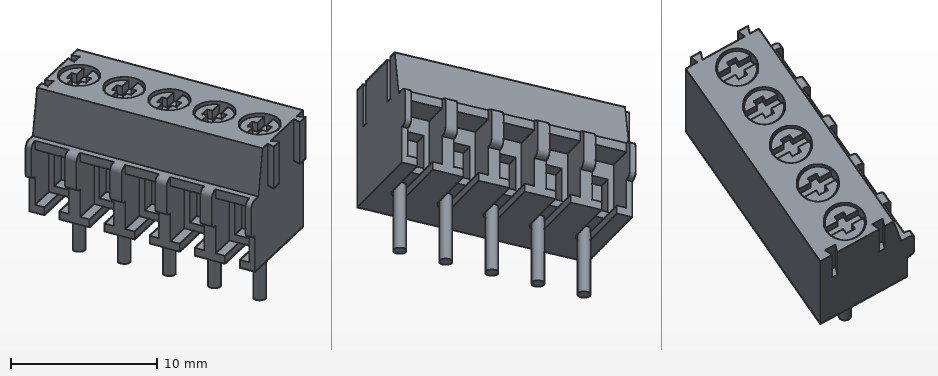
import cadquery as cq

poles = 5
pitch = 3.5
body_length = poles * pitch
body_height = 9.2
back_y = 3.05
front_y = -3.95

lip_y = -4.5
shelf_z = 5.7
lip_bottom_z = 2.8
lip_radius = 0.5
slope_top_y = -2.83
slope_bottom_y = -3.45

pocket_width = 2.6
pocket_floor_z = 0.63
shelf_thickness = 0.7
pocket_depth = 2.0
entry_width = 1.75
entry_bottom_z = 1.2
entry_top_z = 3.75
entry_depth = 1.0

pin_diameter = 0.9
pin_length = 4.5
pin_slot_width = 1.16

screw_hole_diameter = 2.9
screw_diameter = 2.7
screw_hole_depth = 1.5
screw_recess = 0.2
drive_slot_width = 0.7
drive_cross_length = 1.5
drive_depth = 0.7

dovetail_depth = 0.57
dovetail_neck = 0.42
dovetail_tip = 0.82
dovetail_height = 3.3
dovetail_centers_y = (1.9, -1.9)

pole_centers_x = [(i - (poles - 1) / 2) * pitch for i in range(poles)]


def box(x_min, x_max, y_min, y_max, z_min, z_max):
    size = (x_max - x_min, y_max - y_min, z_max - z_min)
    return cq.Workplane("XY").box(*size, centered=False).translate((x_min, y_min, z_min))


def housing():
    """Side profile extruded along the whole row, with the lip's outer edges rounded."""
    profile = [
        (back_y, 0),
        (back_y, body_height),
        (slope_top_y, body_height),
        (slope_bottom_y, shelf_z),
        (lip_y, shelf_z),
        (lip_y, lip_bottom_z),
        (front_y, lip_bottom_z),
        (front_y, 0),
    ]
    body = cq.Workplane("YZ").polyline(profile).close().extrude(body_length / 2, both=True)
    return body.faces("<Y").edges("|X").fillet(lip_radius)


def wire_pocket(x):
    """Front opening of one pole, with the smaller wire entry behind it."""
    half_width = pocket_width / 2
    pocket_back_y = front_y + pocket_depth
    opening = box(
        x - half_width, x + half_width, front_y, pocket_back_y,
        pocket_floor_z, shelf_z - shelf_thickness,
    )
    lip_gap = box(x - half_width, x + half_width, lip_y, front_y, pocket_floor_z, shelf_z)
    entry = box(
        x - entry_width / 2, x + entry_width / 2, pocket_back_y, pocket_back_y + entry_depth,
        entry_bottom_z, entry_top_z,
    )
    return opening.union(lip_gap).union(entry)


def pin_slot(x):
    """Slot in the pocket floor, open to the front and rounded around the pin."""
    half_width = pin_slot_width / 2
    straight = box(x - half_width, x + half_width, front_y, 0, 0, pocket_floor_z)
    rounded_end = cq.Workplane("XY").center(x, 0).circle(half_width).extrude(pocket_floor_z)
    return straight.union(rounded_end)


def pin(x):
    """Round solder pin, rooted in the housing above the slot."""
    tip = cq.Workplane("XY", origin=(x, 0, -pin_length))
    return tip.circle(pin_diameter / 2).extrude(pin_length + pocket_floor_z)


def screw_hole(x):
    """Round hole in the top face that surrounds the screw."""
    top = cq.Workplane("XY", origin=(x, 0, body_height))
    return top.circle(screw_hole_diameter / 2).extrude(-screw_hole_depth)


def screw(x):
    """Screw head standing in its hole, slightly sunk, with a cross-shaped drive."""
    head_top = cq.Workplane("XY", origin=(x, 0, body_height - screw_recess))
    head = head_top.circle(screw_diameter / 2).extrude(screw_recess - screw_hole_depth)
    long_slot = head_top.rect(drive_slot_width, screw_hole_diameter).extrude(-drive_depth)
    cross_slot = head_top.rect(drive_cross_length, drive_slot_width).extrude(-drive_depth)
    return head.cut(long_slot).cut(cross_slot)


def dovetail(x, y):
    """Dovetail bar that widens toward +X, hanging down from the top face."""
    outline = [
        (x, y - dovetail_neck / 2),
        (x + dovetail_depth, y - dovetail_tip / 2),
        (x + dovetail_depth, y + dovetail_tip / 2),
        (x, y + dovetail_neck / 2),
    ]
    top = cq.Workplane("XY", origin=(0, 0, body_height))
    return top.polyline(outline).close().extrude(-dovetail_height)


result = housing()
for pole_x in pole_centers_x:
    result = result.cut(wire_pocket(pole_x))
    result = result.cut(pin_slot(pole_x))
    result = result.cut(screw_hole(pole_x))
    result = result.union(screw(pole_x))
    result = result.union(pin(pole_x))
for dovetail_y in dovetail_centers_y:
    result = result.cut(dovetail(-body_length / 2, dovetail_y))
    result = result.union(dovetail(body_length / 2, dovetail_y))